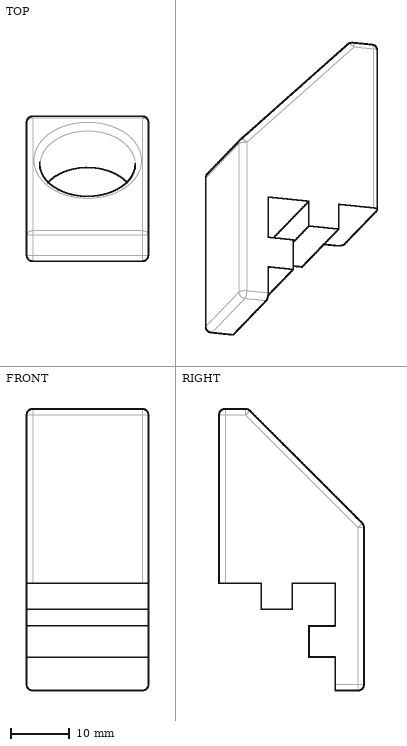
import cadquery as cq

width = 21.0
depth = 25.0
height = 48.5

plate_thickness = 5.0
body_height = 30.0
slope_run = depth - plate_thickness
slope_start_z = height - slope_run
edge_radius = 1.05

notch_z = height - body_height
key_offset = 7.3
key_width = 5.4
key_height = 4.5

socket_diameter = 16.4
socket_depth = 10.0
socket_setback = 7.55
rim_radius = edge_radius

front_y = -depth / 2
back_y = depth / 2
plate_y = back_y - plate_thickness


def box_between(y_low, y_high, z_low, z_high):
    """Full-width box between two Y and two Z positions."""
    return (
        cq.Workplane("XY")
        .box(width, y_high - y_low, z_high - z_low)
        .translate((0, (y_low + y_high) / 2, (z_low + z_high) / 2))
    )


def rounded_block():
    """Block with a sloped back corner and all its edges rounded."""
    profile = [
        (front_y, 0),
        (back_y, 0),
        (back_y, slope_start_z),
        (front_y + plate_thickness, height),
        (front_y, height),
    ]
    return (
        cq.Workplane("YZ")
        .polyline(profile)
        .close()
        .extrude(width / 2, both=True)
        .edges()
        .fillet(edge_radius)
    )


def keyed_notch():
    """Volume removed from the lower front corner, leaving the two keys."""
    notch = box_between(front_y, plate_y, 0, notch_z)
    top_key_y = plate_y - key_offset
    top_key = box_between(top_key_y - key_width, top_key_y, notch_z - key_height, notch_z)
    plate_key_z = notch_z - key_offset
    plate_key = box_between(plate_y - key_height, plate_y, plate_key_z - key_width, plate_key_z)
    return notch.cut(top_key).cut(plate_key)


def socket():
    """Blind round socket with a rounded rim, as a volume to remove."""
    mouth = cq.Plane(
        origin=(0, back_y - socket_setback, slope_start_z + socket_setback),
        xDir=(1, 0, 0),
        normal=(0, 1, 1),
    )
    bore_radius = socket_diameter / 2
    rim_outer = bore_radius + rim_radius
    half_section = (
        cq.Workplane("XY")
        .moveTo(0, 0)
        .lineTo(rim_outer, 0)
        .radiusArc((bore_radius, -rim_radius), -rim_radius)
        .lineTo(bore_radius, -socket_depth)
        .lineTo(0, -socket_depth)
        .close()
    )
    upright = half_section.revolve(360, (0, 0, 0), (0, 1, 0)).rotate((0, 0, 0), (1, 0, 0), 90)
    return cq.Workplane(upright.val().moved(cq.Location(mouth)))


result = rounded_block().cut(keyed_notch()).cut(socket())